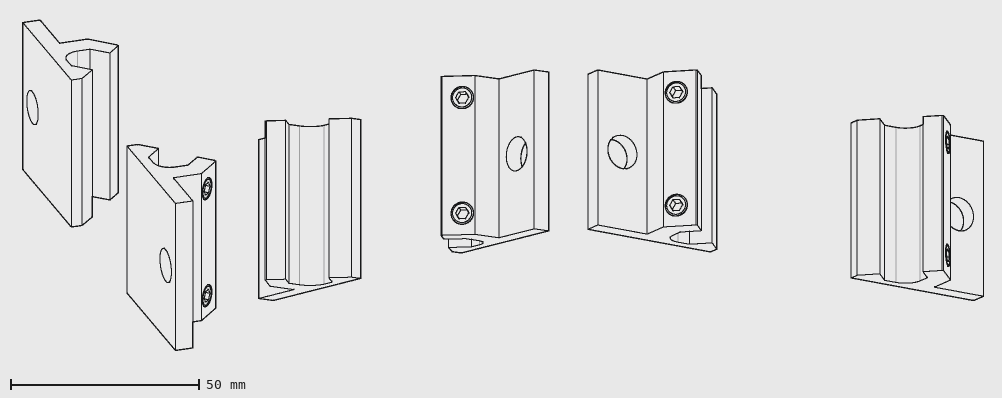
import cadquery as cq
import math

overall_length = 122.0
plate_width = 38.8
height = 43.0
plate_thickness = 4.9

arm_outer_x = 15.6
arm_thickness = 6.3
arm_shoulder_y = 12.8
arm_tip_y = 19.0
tip_flat = 0.5
tip_edge_run = 3.7
throat_y = 11.2

channel_floor_y = 3.0
channel_radius = 4.6
channel_floor_end_x = 30.1
toe_peak_y = 7.5
toe_side_y = 3.0

mount_hole_diameter = 9.2
mount_hole_x = 7.8
mount_hole_z = height / 2

screw_diameter = 6.0
screw_face_diameter = 5.1
socket_across_flats = 3.0
socket_depth = 3.5
screw_y = 15.2
screw_end_distance = 5.9
screw_heights = (screw_end_distance, height - screw_end_distance)


def make_profile():
    """Constant cross-section of the left clip."""
    arm_inner_x = arm_outer_x + arm_thickness
    arm_tip_x = arm_outer_x + arm_tip_y - arm_shoulder_y
    hook_x = arm_tip_x + tip_flat + tip_edge_run
    hook_y = arm_tip_y - tip_edge_run
    toe_peak_x = channel_floor_end_x + toe_peak_y - channel_floor_y
    arc_x = arm_inner_x + channel_radius * (1 - math.cos(math.pi / 4))
    arc_y = channel_floor_y + channel_radius * (1 - math.sin(math.pi / 4))
    return (
        cq.Workplane("XY")
        .moveTo(0, 0)
        .lineTo(plate_width, 0)
        .lineTo(plate_width, toe_side_y)
        .lineTo(toe_peak_x, toe_peak_y)
        .lineTo(channel_floor_end_x, channel_floor_y)
        .lineTo(arm_inner_x + channel_radius, channel_floor_y)
        .threePointArc((arc_x, arc_y), (arm_inner_x, channel_floor_y + channel_radius))
        .lineTo(arm_inner_x, throat_y)
        .lineTo(hook_x, hook_y)
        .lineTo(arm_tip_x + tip_flat, arm_tip_y)
        .lineTo(arm_tip_x, arm_tip_y)
        .lineTo(arm_outer_x, arm_shoulder_y)
        .lineTo(arm_outer_x, plate_thickness)
        .lineTo(0, plate_thickness)
        .close()
    )


def make_mount_hole():
    """Cutter for the round hole through the plate."""
    start = cq.Vector(mount_hole_x, 0, mount_hole_z)
    return cq.Workplane(cq.Solid.makeCylinder(mount_hole_diameter / 2, plate_thickness, start, cq.Vector(0, 1, 0)))


def screw_plane(z):
    """Plane on the sloped arm face, with its normal pointing into the arm."""
    screw_x = arm_outer_x + screw_y - arm_shoulder_y
    return cq.Plane(origin=(screw_x, screw_y, z), xDir=(1, 1, 0), normal=(1, -1, 0))


def make_socket(z):
    """Cutter for the blind hexagonal socket of a set screw."""
    corner_diameter = socket_across_flats / math.cos(math.pi / 6)
    return cq.Workplane(screw_plane(z)).polygon(6, corner_diameter).extrude(socket_depth)


def make_chamfer_groove(z):
    """Cutter for the V groove between the chamfered screw end and its hole."""
    outer_radius = screw_diameter / 2
    inner_radius = screw_face_diameter / 2
    groove_depth = outer_radius - inner_radius
    plane = screw_plane(z)
    hole = cq.Workplane(plane).circle(outer_radius).extrude(groove_depth)
    screw_end = cq.Solid.makeCone(inner_radius, outer_radius, groove_depth, plane.origin, plane.zDir)
    return hole.cut(cq.Workplane(screw_end))


def make_clip():
    """Left clip with its mounting hole and set-screw details."""
    clip = make_profile().extrude(height).cut(make_mount_hole())
    for z in screw_heights:
        clip = clip.cut(make_socket(z))
        clip = clip.cut(make_chamfer_groove(z))
    return clip


left_clip = make_clip()
right_clip = left_clip.mirror("YZ", (overall_length / 2, 0, 0))
result = cq.Compound.makeCompound([left_clip.val(), right_clip.val()])